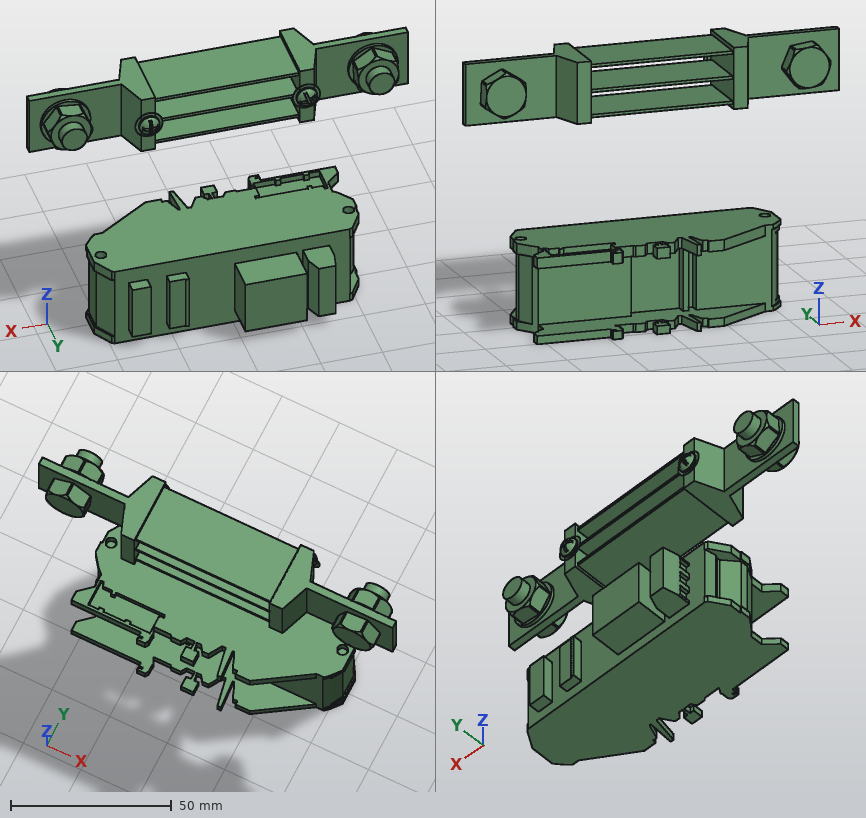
import cadquery as cq
import math



def prism(points, bottom, top):
    """Straight prism along Z over a closed outline in the XY plane."""
    return cq.Workplane("XY").workplane(offset=bottom).polyline(points).close().extrude(top - bottom)


def box(x_range, y_range, z_range):
    """Box given by its lower and upper limits along each axis."""
    left, right = x_range
    front, back = y_range
    return prism([(left, front), (right, front), (right, back), (left, back)], *z_range)


def disc(x, z, radius, start, end):
    """Round disc along +Y from start to end, centred on (x, z)."""
    axis = cq.Workplane("XZ", origin=(x, start, z))
    return axis.circle(radius).extrude(start - end)



SHUNT_LENGTH = 123.0
SHUNT_TOP = 88.4
SHUNT_HEIGHT = 19.9
SHUNT_MIDDLE = SHUNT_TOP - SHUNT_HEIGHT / 2

LUG_THICKNESS = 2.6
LUG_INNER_END = 31.6
BLOCK_OUTER_END = 28.0
BLOCK_INNER_END = 23.5
BLOCK_DEPTH = 21.9

STRIP_DEPTH = 19.7
STRIP_THICKNESS = 1.0
STRIP_SPACING = 8.1
STRIP_COUNT = 3

BOLT_DISTANCE = 49.9
BOLT_AXIS_Z = 78.4
SHANK_RADIUS = 4.0
SHANK_END = 11.7
HEX_FLATS = 13.0
HEX_CHAMFER = 0.9
HEAD_HEIGHT = 5.3
WASHER_RADIUS = 8.0
WASHER_THICKNESS = 1.1
NUT_HEIGHT = 5.5
LEFT_BOLT_TURN = 27.0
RIGHT_BOLT_TURN = 7.0

SCREW_DISTANCE = 25.6
SCREW_WASHER_RADIUS = 4.4
SCREW_WASHER_THICKNESS = 0.1
SCREW_HEAD_RADIUS = 3.3
SCREW_RIM_HEIGHT = 0.7
SCREW_DOME_HEIGHT = 2.1
CROSS_LENGTH = 4.9
CROSS_WIDTH = 0.9
CROSS_DEPTH = 1.5
LEFT_CROSS_TURN = 20.0
RIGHT_CROSS_TURN = 0.0




def end_block(side):
    """Terminal block tapering into its flat lug; side is -1 or +1 along X."""
    half_lug = LUG_THICKNESS / 2
    half_block = BLOCK_DEPTH / 2
    upper_half = [
        (SHUNT_LENGTH / 2, half_lug),
        (LUG_INNER_END, half_lug),
        (BLOCK_OUTER_END, half_block),
        (BLOCK_INNER_END, half_block),
    ]
    lower_half = [(x, -y) for x, y in reversed(upper_half)]
    outline = [(side * x, y) for x, y in upper_half + lower_half]
    return prism(outline, SHUNT_TOP - SHUNT_HEIGHT, SHUNT_TOP)


def strip(index):
    """One thin resistance strip between the two end blocks."""
    middle = SHUNT_MIDDLE + (index - (STRIP_COUNT - 1) / 2) * STRIP_SPACING
    return cq.Workplane("XY", origin=(0, 0, middle)).box(2 * BLOCK_INNER_END, STRIP_DEPTH, STRIP_THICKNESS)


def chamfered_hexagon(x, turn, start, end, chamfered_face):
    """Hexagon along Y, its corners trimmed by a cone at the chosen end face."""
    corner_radius = HEX_FLATS / math.sqrt(3)
    hexagon = cq.Workplane("XZ").polygon(6, 2 * corner_radius).extrude(start - end)
    hexagon = hexagon.rotate((0, 0, 0), (0, 1, 0), -turn).translate((x, start, BOLT_AXIS_Z))
    trim_radius = HEX_FLATS / 2 + HEX_CHAMFER
    trim = disc(x, BOLT_AXIS_Z, trim_radius, start, end).faces(chamfered_face).chamfer(HEX_CHAMFER)
    return hexagon.intersect(trim)


def bolt_set(x, turn):
    """Hexagon bolt with head in front of the lug, washer and nut behind it."""
    lug_back = LUG_THICKNESS / 2
    nut_start = lug_back + WASHER_THICKNESS
    head = chamfered_hexagon(x, turn, -lug_back - HEAD_HEIGHT, -lug_back, "<Y")
    washer = disc(x, BOLT_AXIS_Z, WASHER_RADIUS, lug_back, nut_start)
    nut = chamfered_hexagon(x, turn, nut_start, nut_start + NUT_HEIGHT, ">Y")
    shank = disc(x, BOLT_AXIS_Z, SHANK_RADIUS, -lug_back, SHANK_END)
    return head.union(washer).union(nut).union(shank)


def terminal_screw(x, cross_turn):
    """Domed cross-recess screw on a thin washer, on the back of an end block."""
    seat = BLOCK_DEPTH / 2
    rim_top = seat + SCREW_RIM_HEIGHT
    dome_top = rim_top + SCREW_DOME_HEIGHT
    dome_radius = (SCREW_HEAD_RADIUS**2 + SCREW_DOME_HEIGHT**2) / (2 * SCREW_DOME_HEIGHT)
    washer = disc(x, SHUNT_MIDDLE, SCREW_WASHER_RADIUS, seat, seat + SCREW_WASHER_THICKNESS)
    head = disc(x, SHUNT_MIDDLE, SCREW_HEAD_RADIUS, seat, dome_top)
    dome = cq.Workplane("XY").sphere(dome_radius).translate((x, dome_top - dome_radius, SHUNT_MIDDLE))
    head = head.intersect(dome)
    recess_middle = dome_top - CROSS_DEPTH / 2
    bar = cq.Workplane("XY").box(CROSS_WIDTH, CROSS_DEPTH, CROSS_LENGTH)
    for turn in (cross_turn, cross_turn + 90):
        arm = bar.rotate((0, 0, 0), (0, 1, 0), turn).translate((x, recess_middle, SHUNT_MIDDLE))
        head = head.cut(arm)
    return washer.union(head)


def make_shunt():
    shunt = end_block(-1).union(end_block(1))
    for index in range(STRIP_COUNT):
        shunt = shunt.union(strip(index))
    shunt = shunt.union(bolt_set(-BOLT_DISTANCE, LEFT_BOLT_TURN))
    shunt = shunt.union(bolt_set(BOLT_DISTANCE, RIGHT_BOLT_TURN))
    shunt = shunt.union(terminal_screw(-SCREW_DISTANCE, LEFT_CROSS_TURN))
    return shunt.union(terminal_screw(SCREW_DISTANCE, RIGHT_CROSS_TURN))



MODULE_TOP = 27.9
UPPER_PLATE_BOTTOM = 24.5
LOWER_PLATE_TOP = 2.7
MODULE_BACK = 16.6
MODULE_FRONT = -3.8
LEFT_END = -42.9
RIGHT_END = 43.0
LEFT_STEP_X = -43.4
RAIL_EDGE = -12.3
FOOT_END = -18.5

PLATE_OUTLINE = [
    (-37.9, MODULE_BACK),
    (-39.0, 16.1),
    (LEFT_END, 9.8),
    (LEFT_END, 5.8),
    (LEFT_STEP_X, 5.8),
    (LEFT_STEP_X, 2.1),
    (-40.0, -2.5),
    (-38.5, MODULE_FRONT),
    (-38.5, -8.5),
    (LEFT_END, -12.4),
    (LEFT_END, -15.7),
    (-18.8, -15.7),
    (-18.8, -17.0),
    (-17.6, -17.0),
    (-17.6, -17.6),
    (-18.8, -17.6),
    (-18.8, FOOT_END),
    (-16.0, FOOT_END),
    (-15.3, -17.3),
    (-15.3, -14.9),
    (-15.0, -14.3),
    (-16.0, -12.7),
    (-16.0, RAIL_EDGE),
    (-10.1, RAIL_EDGE),
    (-9.6, -12.9),
    (-6.4, -12.9),
    (-5.2, -11.1),
    (-2.3, -11.1),
    (-2.5, -13.7),
    (-4.0, -13.7),
    (-4.0, -17.3),
    (0.2, -17.3),
    (0.2, -13.7),
    (-1.2, -13.7),
    (-1.6, -11.1),
    (-0.1, -11.1),
    (1.2, -12.9),
    (3.3, -12.9),
    (5.9, -8.6),
    (7.1, -8.6),
    (9.0, -18.1),
    (10.2, -18.1),
    (9.6, -8.6),
    (10.2, -8.6),
    (12.2, -13.9),
    (13.8, -13.9),
    (13.8, -15.1),
    (18.8, -15.1),
    (36.3, MODULE_FRONT),
    (38.9, MODULE_FRONT),
    (40.3, -2.5),
    (RIGHT_END, 0.9),
    (RIGHT_END, 9.8),
    (39.2, 16.1),
    (38.4, MODULE_BACK),
]

HOUSING_END = 42.4
HOUSING_OUTLINE = [
    (-38.1, MODULE_BACK),
    (-38.9, 12.4),
    (-38.3, 11.3),
    (-38.4, 10.2),
    (-42.7, 5.0),
    (-42.7, 2.5),
    (-40.0, -2.5),
    (-38.5, MODULE_FRONT),
    (38.5, MODULE_FRONT),
    (40.3, -2.0),
    (HOUSING_END, 2.1),
    (HOUSING_END, 9.8),
    (38.4, MODULE_BACK),
]
CHANNEL_BACK = -0.4
WIDE_CHANNEL = (-7.9, 9.2)
NARROW_CHANNEL = (11.1, 13.7)

BEVEL_BOTTOM = 1.5
BEVEL_TOP = 26.3
BEVEL_OUTLINE = [
    (38.5, MODULE_FRONT),
    (40.3, -2.0),
    (RIGHT_END, 2.1),
    (RIGHT_END, MODULE_FRONT),
]

PLATE_HOLE_RADIUS = 1.7
PLATE_HOLE_DEPTH = 3.0
PLATE_HOLES = [(-40.5, 7.0), (40.0, 7.0)]

RECESS_DEPTH = 2.0
RECESS_LEFT = -37.6
RECESS_RIGHT = -16.1
RECESS_BACK = -7.3
RECESS_CORNER_BACK = -5.8
RECESS_CORNER_FOOT = -36.3
RECESS_CORNER_HEAD = -36.7
RECESS_FRONT = -14.8
RECESS_NOTCH_END = -14.6
RECESS_NOTCH_FRONT = -8.2
BACK_LUG = (-33.0, -31.6)
BACK_LUG_FRONT = -8.4
FRONT_LUGS = [(-34.1, -32.3), (-24.8, -23.1)]
FRONT_LUG_BACK = -14.0

TERMINAL_TOP = 23.0
CONNECTOR_TOP = 22.6
CONNECTOR_BOTTOM = 4.4
TERMINAL_LEFT = -31.4
TERMINAL_OUTLINE = [
    (TERMINAL_LEFT, MODULE_BACK),
    (-22.8, MODULE_BACK),
    (-22.8, 22.3),
    (-24.7, 27.2),
    (-30.3, 27.2),
    (TERMINAL_LEFT, 21.9),
]
WINDOW_SIZE = 4.0
WINDOW_DEPTH = 1.2
WINDOW_PITCH = 6.3
WINDOW_COUNT = 3
WINDOW_FIRST_BOTTOM = 5.7
SOCKET = ((-20.7, -0.6), 28.0)
SWITCH = ((15.3, 21.5), 19.8)
SWITCH_NUB = ((15.3, 16.4), 20.2)
KEY = ((27.8, 33.8), 20.5)




def housing():
    """Middle of the module with the two channels in its front."""
    core = prism(HOUSING_OUTLINE, LOWER_PLATE_TOP, UPPER_PLATE_BOTTOM)
    for channel in (WIDE_CHANNEL, NARROW_CHANNEL):
        core = core.cut(box(channel, (MODULE_FRONT, CHANNEL_BACK), (LOWER_PLATE_TOP, UPPER_PLATE_BOTTOM)))
    return core


def label_recess():
    """Pocket in the upper plate with raised lugs left along its edges."""
    depth = (MODULE_TOP - RECESS_DEPTH, MODULE_TOP)
    outline = [
        (RECESS_LEFT, RECESS_FRONT),
        (RECESS_RIGHT, RECESS_FRONT),
        (RECESS_RIGHT, RECESS_BACK),
        (RECESS_CORNER_FOOT, RECESS_BACK),
        (RECESS_CORNER_HEAD, RECESS_CORNER_BACK),
        (RECESS_LEFT, RECESS_CORNER_BACK),
    ]
    recess = prism(outline, *depth)
    notch = box((RECESS_RIGHT, RECESS_NOTCH_END), (RECESS_NOTCH_FRONT, RECESS_BACK), depth)
    recess = recess.union(notch)
    recess = recess.cut(box(BACK_LUG, (BACK_LUG_FRONT, RECESS_BACK), depth))
    for lug in FRONT_LUGS:
        recess = recess.cut(box(lug, (RECESS_FRONT, FRONT_LUG_BACK), depth))
    return recess


def terminal():
    """Screw terminal with wire windows in its left face."""
    body = prism(TERMINAL_OUTLINE, CONNECTOR_BOTTOM, TERMINAL_TOP)
    for index in range(WINDOW_COUNT):
        bottom = WINDOW_FIRST_BOTTOM + index * WINDOW_PITCH
        window = box(
            (TERMINAL_LEFT, TERMINAL_LEFT + WINDOW_DEPTH),
            (MODULE_BACK, MODULE_BACK + WINDOW_SIZE),
            (bottom, bottom + WINDOW_SIZE),
        )
        body = body.cut(window)
    return body


def make_module():
    upper_plate = prism(PLATE_OUTLINE, UPPER_PLATE_BOTTOM, MODULE_TOP).cut(label_recess())
    for x, y in PLATE_HOLES:
        hole = cq.Workplane("XY", origin=(x, y, MODULE_TOP)).circle(PLATE_HOLE_RADIUS)
        upper_plate = upper_plate.cut(hole.extrude(-PLATE_HOLE_DEPTH))
    lower_plate = prism(PLATE_OUTLINE, 0, LOWER_PLATE_TOP)
    module = housing().union(upper_plate).union(lower_plate)
    module = module.cut(prism(BEVEL_OUTLINE, BEVEL_BOTTOM, BEVEL_TOP))
    module = module.union(terminal())
    for x_range, back in (SOCKET, SWITCH, SWITCH_NUB, KEY):
        module = module.union(box(x_range, (MODULE_BACK, back), (CONNECTOR_BOTTOM, CONNECTOR_TOP)))
    return module


shunt = make_shunt()
rail_module = make_module()
result = cq.Compound.makeCompound([shunt.val(), rail_module.val()])